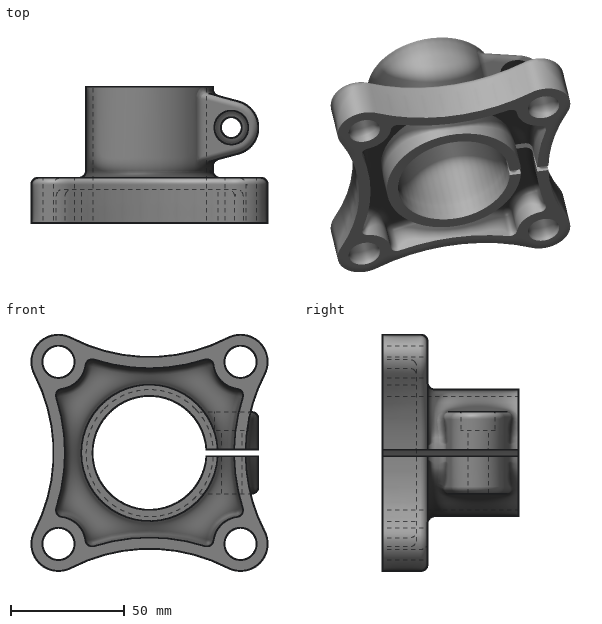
import cadquery as cq
import math

flange_width = 104.0
flange_thickness = 20.0
lug_radius = 12.0
lug_hole_diameter = 14.0
side_arc_radius = 75.0
lug_offset = flange_width / 2 - lug_radius

rim_width = 5.0
pocket_depth = 15.0
fillet_radius = 3.0

total_depth = 60.0
bore_diameter = 50.0
sleeve_diameter = 56.0
collar_diameter = 60.0

ear_thickness = 36.0
ear_radius = 12.0
ear_root_x = 18.7
ear_center_x = 36.0
ear_center_y = total_depth - 18.0
ear_taper = math.radians(15)
bolt_diameter = 9.0
counterbore_diameter = 15.0
counterbore_depth = 8.0
slit_width = 2.8

side_center = lug_offset + math.sqrt((side_arc_radius + lug_radius) ** 2 - lug_offset**2)

lug_centers = [(sx * lug_offset, sz * lug_offset) for sx in (1, -1) for sz in (1, -1)]
side_centers = [(side_center, 0), (-side_center, 0), (0, side_center), (0, -side_center)]


def cylinder(x, z, radius, start, end):
    """Cylinder along Y, from Y = start to Y = end."""
    return cq.Workplane("XZ", origin=(x, start, z)).circle(radius).extrude(start - end)


def make_flange():
    """Concave-sided plate with round lugs and a rounded rear edge."""
    share = lug_radius / (side_arc_radius + lug_radius)
    along = lug_offset * (1 - share)
    across = lug_offset + (side_center - lug_offset) * share
    waist = side_center - side_arc_radius
    tip = lug_offset + lug_radius / math.sqrt(2)
    outline = (
        cq.Workplane("XZ")
        .moveTo(-along, across)
        .threePointArc((0, waist), (along, across))
        .threePointArc((tip, tip), (across, along))
        .threePointArc((waist, 0), (across, -along))
        .threePointArc((tip, -tip), (along, -across))
        .threePointArc((0, -waist), (-along, -across))
        .threePointArc((-tip, -tip), (-across, -along))
        .threePointArc((-waist, 0), (-across, along))
        .threePointArc((-tip, tip), (-along, across))
        .close()
    )
    return outline.extrude(-flange_thickness).faces(">Y").edges().fillet(fillet_radius)


def make_pocket():
    """Pocket volume around the collar, following the rim and the lugs."""
    blank_width = 2 * lug_offset + lug_radius
    pocket = cq.Workplane("XZ").rect(blank_width, blank_width).extrude(-pocket_depth)
    for x, z in side_centers:
        pocket = pocket.cut(cylinder(x, z, side_arc_radius + rim_width, 0, pocket_depth))
    for x, z in lug_centers:
        pocket = pocket.cut(cylinder(x, z, lug_radius, 0, pocket_depth))
    pocket = pocket.edges("|Y or >Y").fillet(fillet_radius)
    return pocket.cut(cylinder(0, 0, collar_diameter / 2, 0, pocket_depth))


def make_ear():
    """Tapered ear with a round end, its outer edges rounded."""
    tangent_x = ear_center_x + ear_radius * math.sin(ear_taper)
    tangent_y = ear_radius * math.cos(ear_taper)
    root_y = tangent_y + (tangent_x - ear_root_x) * math.tan(ear_taper)
    ear = (
        cq.Workplane("XY", origin=(0, ear_center_y, -ear_thickness / 2))
        .moveTo(ear_root_x, -root_y)
        .lineTo(tangent_x, -tangent_y)
        .threePointArc((ear_center_x + ear_radius, 0), (tangent_x, tangent_y))
        .lineTo(ear_root_x, root_y)
        .close()
        .extrude(ear_thickness)
    )
    return ear.faces("<Z or >Z").edges("not <X").fillet(fillet_radius)


def make_sleeve():
    """Solid sleeve, turned half round so that its seam lies away from the ear."""
    sleeve = cylinder(0, 0, sleeve_diameter / 2, 0, total_depth)
    return sleeve.rotate((0, 0, 0), (0, 1, 0), 180)


def is_root_edge(edge):
    """True for edges on the sleeve's outer surface that stay clear of its rear end."""
    tolerance = 0.001
    for share in (0, 0.3, 0.7, 1):
        point = edge.positionAt(share)
        radius = math.hypot(point.x, point.z)
        if abs(radius - sleeve_diameter / 2) > tolerance:
            return False
        if point.y > total_depth - tolerance:
            return False
    return True


body = make_flange().union(make_sleeve()).union(make_ear())
root_edges = [edge for edge in body.edges().vals() if is_root_edge(edge)]
body = body.newObject(root_edges).fillet(fillet_radius)

body = body.cut(make_pocket())
body = body.cut(cylinder(0, 0, bore_diameter / 2, 0, total_depth))
for x, z in lug_centers:
    body = body.cut(cylinder(x, z, lug_hole_diameter / 2, 0, flange_thickness))

bolt_seat = cq.Workplane("XY", origin=(ear_center_x, ear_center_y, ear_thickness / 2))
body = body.cut(bolt_seat.circle(bolt_diameter / 2).extrude(-ear_thickness))
body = body.cut(bolt_seat.circle(counterbore_diameter / 2).extrude(-counterbore_depth))

slit = cq.Workplane("XY").box(flange_width, total_depth, slit_width, centered=(False, False, True))
result = body.cut(slit)